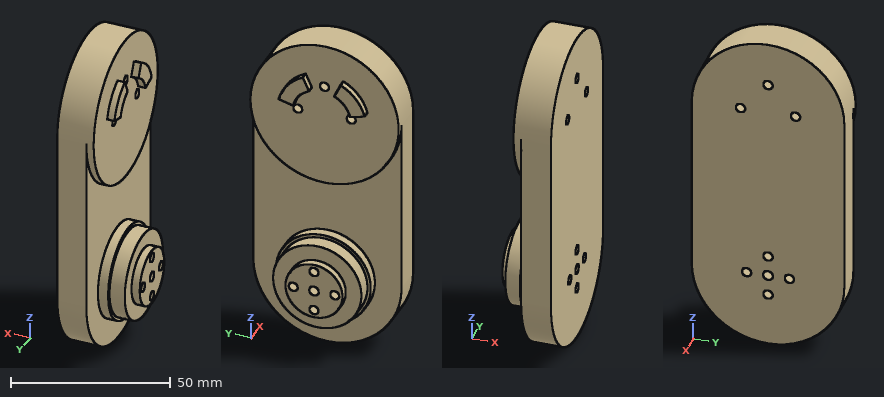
import math

import cadquery as cq

PLATE_WIDTH = 50.0
OVERALL_HEIGHT = 109.71
CENTRE_DISTANCE = OVERALL_HEIGHT - PLATE_WIDTH

PLATE_FRONT = 10.0
PAD_FRONT = 12.5
LUG_FRONT = 15.0
FLANGE_FRONT = 13.5
BOSS_FRONT = 18.7
TIP_FRONT = 21.5

FLANGE_DIAMETER = 32.0
BOSS_DIAMETER = 29.75
TIP_DIAMETER = 19.2
BOSS_CENTRE_HOLE_DIAMETER = 3.2
BOSS_HOLE_DIAMETER = 3.0
BOSS_HOLE_OFFSET = 7.0

LUG_INNER_RADIUS = 10.0
LUG_OUTER_RADIUS = 15.0
LUG_START_ANGLE = 15.0
LUG_SWEEP = 50.0
PAD_HOLE_DIAMETER = 3.0
PAD_SIDE_HOLE_OFFSET = 9.0
PAD_SIDE_HOLE_RISE = 0.2
PAD_TOP_HOLE_RISE = 10.2


def rear_plane():
    """Sketch plane on the rear face: local x is +Y, local y is +Z."""
    return cq.Workplane("YZ")


def disc(diameter, centre_z, front):
    """Round disc from the rear face out to the given front distance."""
    return rear_plane().center(0, centre_z).circle(diameter / 2).extrude(-front)


def make_plate():
    """Plate with parallel sides and full-round ends; its upper end rises into the pad."""
    middle = (
        rear_plane()
        .center(0, CENTRE_DISTANCE / 2)
        .rect(PLATE_WIDTH, CENTRE_DISTANCE)
        .extrude(-PLATE_FRONT)
    )
    lower_end = disc(PLATE_WIDTH, 0, PLATE_FRONT)
    upper_end = disc(PLATE_WIDTH, CENTRE_DISTANCE, PAD_FRONT)
    return middle.union(lower_end).union(upper_end)


def polar_point(radius, angle):
    """Sketch point at a radius and an angle in degrees measured from local x."""
    return (radius * math.cos(math.radians(angle)), radius * math.sin(math.radians(angle)))


def make_lug():
    """Ring sector with radial ends, on the +Y side of the pad."""
    middle_angle = LUG_START_ANGLE + LUG_SWEEP / 2
    end_angle = LUG_START_ANGLE + LUG_SWEEP
    return (
        rear_plane()
        .center(0, CENTRE_DISTANCE)
        .moveTo(*polar_point(LUG_INNER_RADIUS, LUG_START_ANGLE))
        .lineTo(*polar_point(LUG_OUTER_RADIUS, LUG_START_ANGLE))
        .threePointArc(
            polar_point(LUG_OUTER_RADIUS, middle_angle),
            polar_point(LUG_OUTER_RADIUS, end_angle),
        )
        .lineTo(*polar_point(LUG_INNER_RADIUS, end_angle))
        .threePointArc(
            polar_point(LUG_INNER_RADIUS, middle_angle),
            polar_point(LUG_INNER_RADIUS, LUG_START_ANGLE),
        )
        .close()
        .extrude(-LUG_FRONT)
    )


def make_holes(diameter, centre_z, points):
    """Cutters for holes through the full depth, placed around a centre height."""
    return (
        rear_plane()
        .center(0, centre_z)
        .pushPoints(points)
        .circle(diameter / 2)
        .extrude(-TIP_FRONT)
    )


result = make_plate()

boss_steps = [
    (FLANGE_DIAMETER, FLANGE_FRONT),
    (BOSS_DIAMETER, BOSS_FRONT),
    (TIP_DIAMETER, TIP_FRONT),
]
for step_diameter, step_front in boss_steps:
    result = result.union(disc(step_diameter, 0, step_front))

lug = make_lug()
result = result.union(lug).union(lug.mirror("XZ"))

boss_hole_points = [
    (BOSS_HOLE_OFFSET, 0),
    (-BOSS_HOLE_OFFSET, 0),
    (0, BOSS_HOLE_OFFSET),
    (0, -BOSS_HOLE_OFFSET),
]
pad_hole_points = [
    (PAD_SIDE_HOLE_OFFSET, PAD_SIDE_HOLE_RISE),
    (-PAD_SIDE_HOLE_OFFSET, PAD_SIDE_HOLE_RISE),
    (0, PAD_TOP_HOLE_RISE),
]
result = result.cut(make_holes(BOSS_CENTRE_HOLE_DIAMETER, 0, [(0, 0)]))
result = result.cut(make_holes(BOSS_HOLE_DIAMETER, 0, boss_hole_points))
result = result.cut(make_holes(PAD_HOLE_DIAMETER, CENTRE_DISTANCE, pad_hole_points))